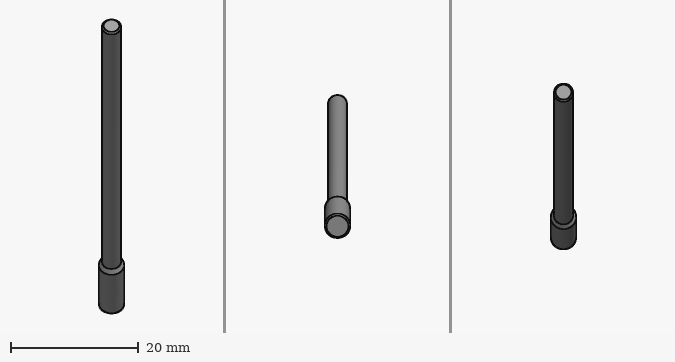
import cadquery as cq

total_length = 70.0
head_diameter = 4.0
shank_diameter = 3.0
head_cylinder_top = 10.0
head_taper_height = 0.85
head_chamfer_height = 0.3
head_chamfer_width = 0.3
shank_chamfer_height = 0.3
shank_chamfer_width = 0.3

head_radius = head_diameter / 2
shank_radius = shank_diameter / 2
head_length = head_cylinder_top + head_taper_height
shank_chamfer_start = total_length - shank_chamfer_height


def revolve_profile(points):
    """Revolve a closed (radius, height) outline around the Z axis."""
    return cq.Workplane("XZ").polyline(points).close().revolve(360, (0, 0), (0, 1))


def make_head():
    """Thick lower body: chamfered foot, cylinder and taper down to the shank."""
    return revolve_profile([
        (0, 0),
        (head_radius - head_chamfer_width, 0),
        (head_radius, head_chamfer_height),
        (head_radius, head_cylinder_top),
        (shank_radius, head_length),
        (0, head_length),
    ])


def make_shank():
    """Slender rod standing on the head, chamfered at its free end."""
    return revolve_profile([
        (0, head_length),
        (shank_radius, head_length),
        (shank_radius, shank_chamfer_start),
        (shank_radius - shank_chamfer_width, total_length),
        (0, total_length),
    ])


head = make_head()
shank = make_shank()

result = cq.Compound.makeCompound([head.val(), shank.val()])